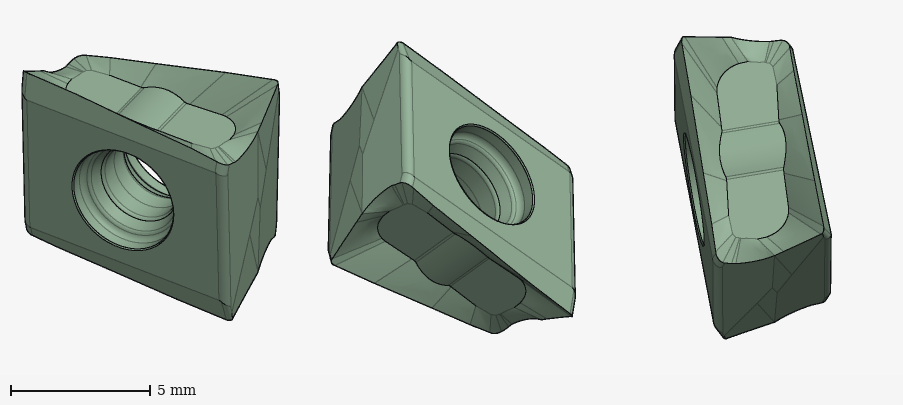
import cadquery as cq
import math

X_AXIS = (1, 0, 0)
Y_AXIS = (0, 1, 0)
Z_AXIS = (0, 0, 1)

width = 8.79
thickness = 4.3
height = 8.14
half_width = width / 2
half_thickness = thickness / 2

blank_width = 1.1 * width
clearance_block_depth = 1.1 * thickness
clearance_block_height = 1.1 * height
cutter_size = 3 * width

crest_relief = 0.048
knee_relief = 0.043
crest_height = 2.99
crest_end = (crest_relief - half_width, 0.0, crest_height)
crest_mid = (-half_width, 0.09, 0.26)
crest_mid_opposite = (-half_width, -0.09, -0.26)
crest_low_end = (crest_relief - half_width, 0.0, -crest_height)
flank_low_corner = (-4.09, -1.86, -crest_height)
relief_knee = (knee_relief - half_width, -0.6, 0.88)
relief_corner = (-4.245, -1.8, 3.6)
main_flank = (crest_mid_opposite, crest_low_end, flank_low_corner)
crest_facet = (crest_end, crest_mid, crest_mid_opposite)
relief_facet = (crest_end, relief_knee, relief_corner)

clearance_high = (-3.87, -half_thickness, 3.1)
clearance_low = (3.78, -half_thickness, 2.285)
clearance_tip = (-3.98, -1.86, 4.05)
clearance_plane = (clearance_high, clearance_low, clearance_tip)

face_corner_radius = 0.33
clearance_tip_radius = 0.22
clearance_low_radius = 0.395
flank_margin = 0.003

corner_inner_x = 3.87
corner_inner_y = 1.45
corner_outer_y = 2.285
corner_outer_z = 4.395

floor_height = 2.655
bump_radius = 2.8
bump_fillet = 0.325
pocket_top = height
wall_extension = 1.4

front_tip = ((-2.435, -0.86), (-3.98, -1.86, 4.06))
front_left = ((-1.08, -0.94), (-2.04, -1.88, 3.76))
front_right = ((1.0, -1.13), (0.81, -1.95, 3.25))
front_low = ((2.36, -1.31), (2.69, -1.99, 2.93))
low_corner_start = ((3.085, -1.3), (3.68, -2.02, 2.71))
low_corner_mid = ((3.24, -1.21), (4.07, -1.83, 2.55))
low_corner_bend = ((3.29, -1.08), (4.12, -1.51, 2.49))
low_corner_end = ((3.31, -1.05), (4.13, -1.36, 2.45))
side_dip = ((3.36, -0.77), (4.24, -0.7, 2.59))
side_mid = ((3.45, -0.45), (4.34, 0.0, 3.01))
side_rise = ((3.43, -0.11), (4.325, 0.33, 3.19))
side_bend = ((3.11, 0.53), (4.27, 1.055, 3.595))
side_tip = ((2.64, 0.83), (4.22, 1.7, 3.97))
back_tip = ((2.435, 0.86), (3.98, 1.86, 4.06))

pocket_walls = (
    (front_tip, front_left),
    (front_left, front_right),
    (front_right, front_low),
    (front_low, low_corner_start),
    (low_corner_start, low_corner_mid),
    (low_corner_mid, low_corner_bend),
    (low_corner_bend, low_corner_end),
    (low_corner_end, side_dip, side_mid),
    (side_mid, side_rise),
    (side_rise, side_bend, side_tip),
    (side_tip, back_tip),
)

mouth_radius = 2.07
seat_bore_radius = 2.02
mouth_chamfer_length = 0.05
seat_bore_end = 1.66
seat_round_mid = (1.97, 1.5)
seat_round_radius = 1.855
seat_round_end = 1.4
cone_radius = 1.74
cone_start = 1.28
cone_end_radius = 1.56
cone_end = 0.87
throat_radius = 1.485
throat_start = 0.7


def turned(shape, axis):
    """Copy of a shape after a half turn about an axis through the centre."""
    return shape.rotate((0, 0, 0), axis, 180)


def outside(plane_points, margin=0.0):
    """Solid block on the outer side of the plane through three points, moved out by a margin."""
    a, b, c = (cq.Vector(*point) for point in plane_points)
    normal = (b - a).cross(c - a).normalized()
    if normal.dot(a) < 0:
        normal = -normal
    plane = cq.Plane(origin=a + normal * margin, xDir=b - a, normal=normal)
    return cq.Workplane(plane).rect(cutter_size, cutter_size).extrude(width)


def cut_with_half_turns(body, tool):
    """Cut a tool and its half-turn copies about all three axes."""
    body = body.cut(tool)
    for axis in (X_AXIS, Y_AXIS, Z_AXIS):
        body = body.cut(turned(tool, axis))
    return body


def flanked_block(depth, block_height, margin=0.0):
    """Block of the given depth and height between the four main flanks."""
    block = cq.Workplane().box(blank_width, depth, block_height)
    return cut_with_half_turns(block, outside(main_flank, margin))


def faced_block():
    """Block between the flat +-Y faces, with its upright corners rounded."""
    block = flanked_block(thickness, height)
    return block.faces("<Y or >Y").edges("<X or >X").fillet(face_corner_radius)


def clearance_block():
    """Block between the clearance planes, with its corners rounded."""
    block = flanked_block(clearance_block_depth, clearance_block_height, flank_margin)
    block = cut_with_half_turns(block, outside(clearance_plane))
    for x_side in (-1, 1):
        for y_side in (-1, 1):
            for z_side in (-1, 1):
                at_tip = x_side * y_side * z_side > 0
                radius = clearance_tip_radius if at_tip else clearance_low_radius
                inner = (x_side * corner_inner_x, y_side * corner_inner_y, 0)
                outer = (x_side * width, y_side * corner_outer_y, z_side * corner_outer_z)
                corner = cq.selectors.BoxSelector(inner, outer)
                block = block.edges(corner).fillet(radius)
    return block


def curve_through(points):
    """Straight edge through two points, or a smooth one through more."""
    if len(points) == 2:
        return cq.Edge.makeLine(*points)
    return cq.Edge.makeSpline(points)


def hole_bump():
    """Rounded rise across the pocket floor, concentric with the screw hole."""
    base = cq.Workplane("XZ").rect(width, 2 * floor_height).extrude(half_thickness, both=True)
    roll = cq.Workplane("XZ").circle(bump_radius).extrude(half_thickness, both=True)
    bump = base.union(roll)
    crossing_x = math.sqrt(bump_radius**2 - floor_height**2)
    for x in (-crossing_x, crossing_x):
        crossing = cq.selectors.NearestToPointSelector((x, 0, floor_height))
        bump = bump.edges(crossing).fillet(bump_fillet)
    return bump.intersect(cq.Workplane().box(4 * crossing_x, thickness, 3 * floor_height))


def chip_pocket():
    """Upper cavity, with ruled walls that run outward from the floor through the cutting edges."""
    floor_edges = []
    top_edges = []
    faces = []
    for turn in (1, -1):
        for wall in pocket_walls:
            feet = [cq.Vector(turn * x, turn * y, floor_height) for (x, y), rim in wall]
            rims = [cq.Vector(turn * x, turn * y, z) for foot, (x, y, z) in wall]
            ends = [foot + (rim - foot) * wall_extension for foot, rim in zip(feet, rims)]
            tops = [cq.Vector(end.x, end.y, pocket_top) for end in ends]
            floor_edge = curve_through(feet)
            wall_edge = curve_through(ends)
            top_edge = curve_through(tops)
            faces.append(cq.Face.makeRuledSurface(floor_edge, wall_edge))
            faces.append(cq.Face.makeRuledSurface(wall_edge, top_edge))
            floor_edges.append(floor_edge)
            top_edges.append(top_edge)
    for edges in (floor_edges, top_edges):
        faces.append(cq.Face.makeFromWires(cq.Wire.assembleEdges(edges)))
    cavity = cq.Workplane(cq.Solid.makeSolid(cq.Shell.makeShell(faces)))
    return cavity.cut(hole_bump())


def screw_hole():
    """Through hole with a rounded seat at both ends, as a solid of revolution about Y."""
    half_profile = (
        cq.Workplane("XY")
        .lineTo(throat_radius, 0)
        .lineTo(throat_radius, throat_start)
        .tangentArcPoint((cone_end_radius, cone_end), relative=False)
        .lineTo(cone_radius, cone_start)
        .tangentArcPoint((seat_round_radius, seat_round_end), relative=False)
        .threePointArc(seat_round_mid, (seat_bore_radius, seat_bore_end))
        .lineTo(seat_bore_radius, half_thickness - mouth_chamfer_length)
        .lineTo(mouth_radius, half_thickness)
        .lineTo(0, half_thickness)
        .close()
    )
    half = half_profile.revolve(360, (0, 0, 0), Y_AXIS)
    return half.union(half.mirror("XZ"))


result = faced_block().intersect(clearance_block())
for facet in (crest_facet, relief_facet):
    result = cut_with_half_turns(result, outside(facet))
result = result.cut(screw_hole())
pocket = chip_pocket()
result = result.cut(pocket).cut(turned(pocket, X_AXIS))